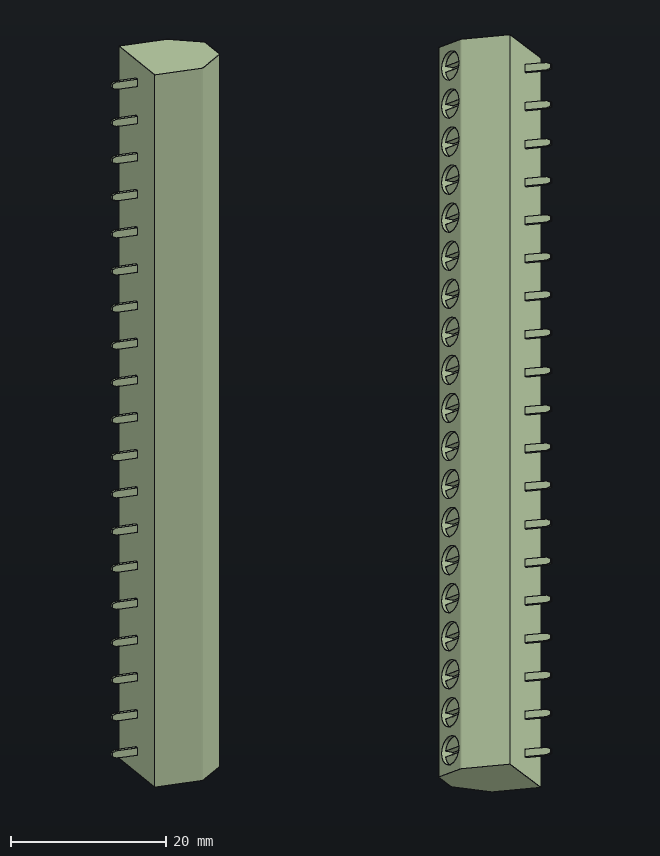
import cadquery as cq
import math

pole_count = 19
pitch = 5.08
end_margin = 3.0

width = 12.0
depth = 10.8
screw_bevel_angle = 35.0
screw_bevel_y = 4.1
plain_bevel = 4.1
edge_radius = 0.5

screw_diameter = 3.8
screw_offset = 0.15
screw_recess = 0.6
slot_width = 0.8
slot_depth = 1.2

pin_length = 3.5
pin_height = 1.0
pin_thickness = 0.5
tip_length = 0.5
tip_height = 0.6

length = (pole_count - 1) * pitch + 2 * end_margin
half_width = width / 2
bevel_tilt = math.radians(screw_bevel_angle)
screw_bevel_x = screw_bevel_y * math.tan(bevel_tilt)
pole_heights = [end_margin + i * pitch for i in range(pole_count)]


def make_housing():
    """Bar along Z with a flat mounting face at y = 0 and two bevels opposite it."""
    outline = [
        (-half_width, 0),
        (half_width, 0),
        (half_width, depth - plain_bevel),
        (half_width - plain_bevel, depth),
        (-half_width + screw_bevel_x, depth),
        (-half_width, depth - screw_bevel_y),
    ]
    bar = cq.Workplane("XY").polyline(outline).close().extrude(length)
    mounting_edges = cq.selectors.BoxSelector(
        (-width, -edge_radius, -length), (width, edge_radius, 2 * length)
    )
    bevel_edges = cq.selectors.SubtractSelector(cq.selectors.StringSyntaxSelector("|Z"), mounting_edges)
    return bar.edges(bevel_edges).fillet(edge_radius)


def make_screw_recesses():
    """Round recesses in the bevel, each with a driver slot in its floor."""
    bevel_plane = cq.Plane(
        origin=(-half_width + screw_bevel_x / 2, depth - screw_bevel_y / 2, 0),
        xDir=(-math.sin(bevel_tilt), -math.cos(bevel_tilt), 0),
        normal=(-math.cos(bevel_tilt), math.sin(bevel_tilt), 0),
    )
    slot_floor = screw_recess + slot_depth
    screw_centres = cq.Workplane(bevel_plane).pushPoints([(screw_offset, z) for z in pole_heights])
    recesses = screw_centres.circle(screw_diameter / 2).extrude(-screw_recess)
    bores = screw_centres.circle(screw_diameter / 2).extrude(-slot_floor)
    slots = screw_centres.rect(screw_diameter, slot_width).extrude(-slot_floor)
    return recesses.union(slots.intersect(bores))


def make_pin(z):
    """Flat solder pin pointing to -Y, tapered in height at its tip."""
    shoulder_y = tip_length - pin_length
    outline = [
        (0, z - pin_height / 2),
        (shoulder_y, z - pin_height / 2),
        (-pin_length, z - tip_height / 2),
        (-pin_length, z + tip_height / 2),
        (shoulder_y, z + pin_height / 2),
        (0, z + pin_height / 2),
    ]
    return cq.Workplane("YZ").polyline(outline).close().extrude(pin_thickness / 2, both=True)


result = make_housing().cut(make_screw_recesses())
for pole_z in pole_heights:
    result = result.union(make_pin(pole_z))